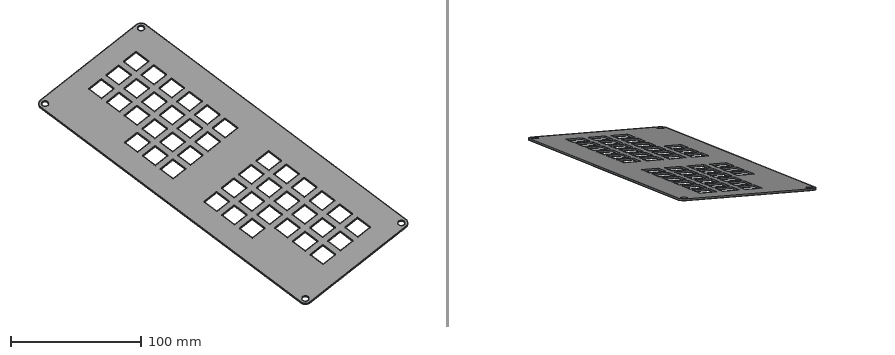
import cadquery as cq

length = 289.0
width = 115.3
thickness = 1.5
corner_radius = 5.0

screw_diameter = 5.5
screw_inset = corner_radius

key_size = 14.0
key_pitch = 19.0
block_columns = 6
full_rows = 3
short_row_keys = 3
left_block_x = -119.0
right_block_x = 23.0
top_row_y = 26.3


def make_plate():
    blank = cq.Workplane("XY").box(length, width, thickness)
    return blank.edges("|Z").fillet(corner_radius)


def drill_screw_holes(plate):
    spacing_x = length - 2 * screw_inset
    spacing_y = width - 2 * screw_inset
    corners = plate.faces(">Z").workplane().rect(spacing_x, spacing_y, forConstruction=True)
    return corners.vertices().hole(screw_diameter)


def key_row(first_x, y, count):
    return [(first_x + column * key_pitch, y) for column in range(count)]


def key_centres():
    centres = []
    for row in range(full_rows):
        y = top_row_y - row * key_pitch
        centres += key_row(left_block_x, y, block_columns)
        centres += key_row(right_block_x, y, block_columns)

    bottom_y = top_row_y - full_rows * key_pitch
    skipped = block_columns - short_row_keys
    centres += key_row(left_block_x + skipped * key_pitch, bottom_y, short_row_keys)
    centres += key_row(right_block_x, bottom_y, short_row_keys)
    return centres


def cut_key_openings(plate):
    face = plate.faces(">Z").workplane(origin=(0, 0, 0))
    return face.pushPoints(key_centres()).rect(key_size, key_size).cutThruAll()


plate = make_plate()
plate = drill_screw_holes(plate)
result = cut_key_openings(plate)